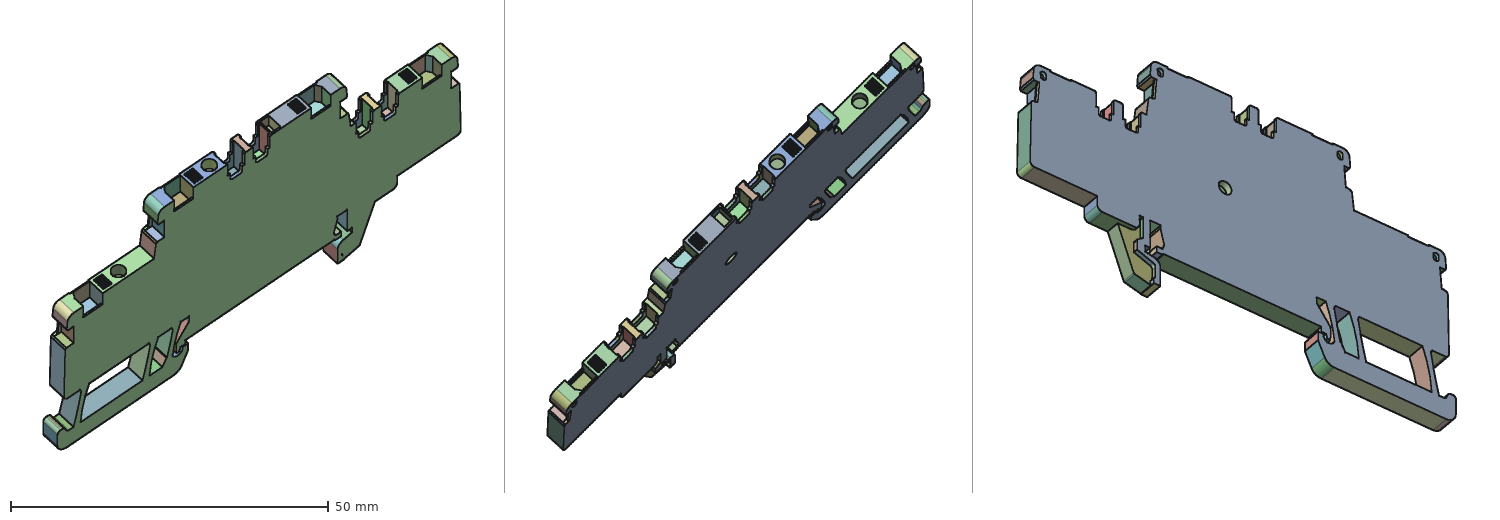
import cadquery as cq
import math

thickness = 3.5
face_wall = 0.54
pocket_end = 2.9

top_z = 45.0
lower_top_z = 33.5
body_bottom_z = 12.5
root_z = 13.35
foot_bottom_z = 7.0
base_top_z = 4.1
overlap = 0.25

lower_mid = 0.7
lower_half = 40.2
upper_mid = -1.4
upper_half = 19.4
upper_foot_half = 20.4
body_half = 41.1
body_corner = 0.8

lip_drop = 3.5
notch_drop = 7.8
lip_flare = 0.25
notch_in_top = 0.75
notch_in_bottom = 0.4
shoulder_out = 0.6
shoulder_chamfer_y = 0.25
shoulder_chamfer_z = 0.3
lip_chamfer_y = 0.2
lip_chamfer_z = 0.4
notch_corner_rise = 0.2
side_pocket_in = 1.2
side_pocket_out = 0.5
corner_radius = 1.3
well_near = 3.2
well_far = 7.2
button_at = 8.7
test_hole_at = 11.9
well_depth = 4.2
well_wall = 0.3
well_back = 3.2
well_back_drop = 2.8
well_corner_x = 1.0
well_corner_y = 0.7
bevel = 0.25

slot_pitch = 5.3
slot_pairs = [(27.05, lower_top_z), (0.5, top_z)]
gap_top = 3.4
gap_bottom = 2.4
gap_step = 3.0
gap_depth = 4.6
gap_lead_in = 0.25
gap_corner = 0.4
slot_length = 4.1
slot_depth = 6.7

button_grooves = 4
groove_pitch = 0.5
groove_width = 0.25
groove_depth = 0.3

test_hole_radius = 1.25
test_hole_depth = 2.5
pin_radius = 1.25
pin_depth = 1.3
pin_y, pin_z = 3.5, 26.05
eye_width = 1.1
eye_height = 1.6
eye_depth = 0.7
eye_in = 1.75
eye_drop = 1.75

marker_from, marker_to = 2.8, 4.7
marker_depth = 2.5

strut_positions = (-16.1, -20.8, -35.05)
strut_top_width = 1.75
strut_plus_bow = 1.3
strut_plus_lean = 1.9
strut_minus_bow = 0.7
strut_minus_lean = 1.7
flare_width = 0.25
flare_height = 0.6

bowl_y, bowl_z = -16.9, 5.5
bowl_radius = 1.1

web_recess = 0.8


def along(a, b, distance):
    """Point at a distance from a on the way to b."""
    ratio = distance / math.dist(a, b)
    return (a[0] + (b[0] - a[0]) * ratio, a[1] + (b[1] - a[1]) * ratio)


def plate(corners, start=0.0, end=thickness):
    """Extrude a closed (y, z[, corner radius]) outline from X = start to X = end."""
    wire = None
    for i, (y, z, *radius) in enumerate(corners):
        here = (y, z)
        before = corners[i - 1][:2]
        after = corners[(i + 1) % len(corners)][:2]
        if radius:
            to_before = math.atan2(before[1] - z, before[0] - y)
            to_after = math.atan2(after[1] - z, after[0] - y)
            half_angle = math.acos(math.cos(to_before - to_after)) / 2
            trim = radius[0] / math.tan(half_angle)
            enter = along(here, before, trim)
            leave = along(here, after, trim)
            chord_mid = ((enter[0] + leave[0]) / 2, (enter[1] + leave[1]) / 2)
            crown = along(here, chord_mid, radius[0] / math.sin(half_angle) - radius[0])
        else:
            enter = here
        if wire is None:
            wire = cq.Workplane("YZ", origin=(start, 0, 0)).moveTo(*enter)
        else:
            wire = wire.lineTo(*enter)
        if radius:
            wire = wire.threePointArc(crown, leave)
    return wire.close().extrude(end - start)


def box(x0, x1, y0, y1, z0, z1):
    return cq.Workplane("XY").box(x1 - x0, y1 - y0, z1 - z0, centered=False).translate((x0, y0, z0))


def mirrored(mid, half_outline):
    """Closed outline, symmetric about Y = mid, from (offset, z[, radius]) corners of one half."""
    minus_side = [(mid - corner[0], *corner[1:]) for corner in half_outline]
    plus_side = [(mid + corner[0], *corner[1:]) for corner in reversed(half_outline)]
    return minus_side + plus_side


def tier(mid, half, top, lower_corner):
    """One tier with a lip, a beveled side notch and a shoulder at both ends; lower_corner closes each end."""
    shoulder = half + shoulder_out
    end = [
        (half, top, corner_radius),
        (half + lip_flare, top - lip_drop + lip_chamfer_z),
        (half + lip_flare - lip_chamfer_y, top - lip_drop),
        (half - notch_in_top, top - lip_drop),
        (half - notch_in_bottom, top - notch_drop + notch_corner_rise),
        (shoulder - shoulder_chamfer_y, top - notch_drop),
        (shoulder, top - notch_drop - shoulder_chamfer_z),
        lower_corner,
    ]
    body = plate(mirrored(mid, end))
    notch_half = half - (notch_in_top + notch_in_bottom) / 2
    notch_z = top - (lip_drop + notch_drop) / 2
    for side in (1, -1):
        notch_edge = cq.NearestToPointSelector((0, mid + side * notch_half, notch_z))
        body = body.edges(notch_edge).chamfer(bevel)
    return body


def strut(y):
    """Curved spring leg from the body down to the base; y is its +Y edge at the top."""
    high = body_bottom_z + overlap
    low = base_top_z - overlap
    middle = (high + low) / 2
    outer = y - strut_top_width
    return (
        cq.Workplane("YZ")
        .moveTo(y, high)
        .threePointArc((y - strut_plus_bow, middle), (y - strut_plus_lean, low))
        .lineTo(outer - strut_minus_lean, low)
        .threePointArc((outer - strut_minus_bow, middle), (outer, body_bottom_z - flare_height))
        .lineTo(outer - flare_width, body_bottom_z)
        .lineTo(outer - flare_width, high)
        .close()
        .extrude(thickness)
    )


def wire_entry(mid, side, half, top):
    """Everything cut for one wire entry; side is +1 at the +Y end and -1 at the -Y end."""
    def at(inward):
        return mid + side * (half - inward)

    def span(a, b):
        return sorted((at(a), at(b)))

    near, far = at(well_near), at(well_far)
    floor = top - well_depth
    well = (
        cq.Workplane("XY", origin=(0, 0, floor))
        .polyline([
            (well_wall, far),
            (well_back, far),
            (well_back, near),
            (well_wall + well_corner_x, near),
            (well_wall, near - side * well_corner_y),
        ])
        .close()
        .extrude(well_depth)
    )
    y0, y1 = span(well_near, well_far)
    back_opening = box(well_back, thickness, y0, y1, top - well_back_drop, top)
    rim = (
        cq.Workplane("XZ", origin=(0, y1, 0))
        .polyline([(0, top), (bevel, top), (0, top - bevel)])
        .close()
        .extrude(y1 - y0)
    )
    y0, y1 = span(side_pocket_in, -side_pocket_out)
    pocket = box(face_wall, thickness, y0, y1, top - notch_drop, top - lip_drop)
    eye = (
        cq.Workplane("YZ")
        .center(at(eye_in), top - eye_drop)
        .slot2D(eye_height, eye_width, 90)
        .extrude(eye_depth)
    )
    cuts = well.union(back_opening).union(rim).union(pocket).union(eye)
    for i in range(button_grooves):
        y = at(button_at) + (i - (button_grooves - 1) / 2) * groove_pitch
        y0, y1 = y - groove_width / 2, y + groove_width / 2
        groove = box(face_wall, pocket_end, y0, y1, top - groove_depth, top)
        cuts = cuts.union(groove)
    if side < 0:
        hole = (
            cq.Workplane("XY", origin=(thickness / 2, at(test_hole_at), top - test_hole_depth))
            .circle(test_hole_radius)
            .extrude(test_hole_depth)
        )
        cuts = cuts.union(hole)
    return cuts


def bridge_slot(y, top):
    """Stepped gap through the thickness with a longer and deeper slot inside."""
    half_gap = [
        (gap_top / 2 + gap_lead_in, top),
        (gap_top / 2, top - gap_lead_in),
        (gap_top / 2, top - gap_step),
        (gap_bottom / 2, top - gap_step),
        (gap_bottom / 2, top - gap_depth, gap_corner),
    ]
    gap = plate(mirrored(y, half_gap))
    inner = box(face_wall, pocket_end, y - slot_length / 2, y + slot_length / 2, top - slot_depth, top)
    return gap.union(inner)


lower_tier = tier(lower_mid, lower_half, lower_top_z, (body_half, body_bottom_z, body_corner))
upper_tier = tier(upper_mid, upper_half, top_z, (upper_foot_half, lower_top_z - overlap))
housing = lower_tier.union(upper_tier)

foot = plate([
    (16.0, root_z),
    (16.2, 11.85),
    (15.45, 8.85, 0.3),
    (15.8, 7.9),
    (16.95, 7.9),
    (16.95, 6.8),
    (15.7, 6.8),
    (15.6, foot_bottom_z),
    (-15.4, foot_bottom_z),
    (-15.4, 6.0),
    (-16.3, 6.0),
    (-16.5, 5.2),
    (-17.1, 5.2),
    (-17.2, 7.7),
    (-14.4, 11.35, 0.7),
    (-14.4, root_z),
])

boss = plate([(28.55, root_z), (28.55, 9.8, 1.0), (20.3, 9.8, 1.0), (20.3, root_z)])
arm = plate([
    (19.5, root_z),
    (19.5, 8.4),
    (20.8, 7.4),
    (20.8, 5.4),
    (17.2, 4.1, 0.7),
    (17.2, 1.6),
    (17.6, 1.1),
    (17.45, 0.25),
    (16.2, 0.25),
    (16.2, 5.2, 1.5),
    (19.2, 5.85),
    (19.2, foot_bottom_z),
    (18.2, foot_bottom_z),
    (18.2, root_z),
])
web = plate([
    (24.0, 10),
    (20.8, 1.2, 0.3),
    (17.45, 0.3),
    (16.9, 4.1),
    (20.0, 5.4),
    (20.0, 7.5),
    (19.2, 8.4),
    (19.2, body_bottom_z + overlap),
    (20.9, body_bottom_z + overlap),
    (20.9, 10),
], web_recess)

base = plate([
    (-14.7, 5.8),
    (-14.7, 4.0),
    (-16.5, 0, 2.1),
    (-41.7, 0, 2.0),
    (-41.7, 5.5, 0.7),
    (-40.3, 5.5, 0.7),
    (-39.7, base_top_z, 0.5),
    (-38.1, base_top_z),
    (-20.0, base_top_z),
    (-19.2, 5.8),
])
hook_bowl = cq.Workplane("YZ").center(bowl_y, bowl_z).circle(bowl_radius).extrude(thickness)

result = housing.union(foot).union(boss).union(arm).union(web).union(base.cut(hook_bowl))
for strut_y in strut_positions:
    result = result.union(strut(strut_y))

for mid, half, top in ((lower_mid, lower_half, lower_top_z), (upper_mid, upper_half, top_z)):
    for side in (1, -1):
        result = result.cut(wire_entry(mid, side, half, top))
for first_y, top in slot_pairs:
    for y in (first_y, first_y - slot_pitch):
        result = result.cut(bridge_slot(y, top))
result = result.cut(box(well_wall, well_back, marker_from, marker_to, top_z - marker_depth, top_z))
result = result.cut(cq.Workplane("YZ").center(pin_y, pin_z).circle(pin_radius).extrude(pin_depth))